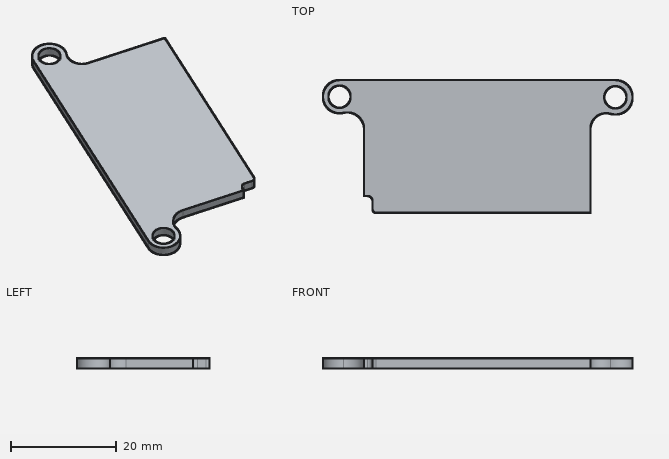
import cadquery as cq
import math

length = 58.9
width = 25.3
thickness = 2.0

left_lug_radius = 3.2
right_lug_radius = 3.3
hole_diameter = 4.2

left_inset = 7.85
right_inset = 8.0
left_blend_radius = 3.2
right_blend_radius = 2.95

notch_length = 1.6
notch_width = 3.2
notch_inner_radius = 0.9
notch_outer_radius = 0.7

left = -length / 2
right = length / 2
back = width / 2
front = -width / 2
body_left = left + left_inset
body_right = right - right_inset
notch_x = body_left + notch_length
notch_y = front + notch_width


def lug_center(tip_x, inward, lug_radius):
    """Centre of a lug tangent to the back edge and to its tip; inward is +1 or -1 along X."""
    return tip_x + inward * lug_radius, back - lug_radius


def blend_points(center, side_x, inward, lug_radius, blend_radius):
    """Lug tangent point, arc midpoint and side tangent point of a lug-to-side blend."""
    blend_x = side_x - inward * blend_radius
    reach = lug_radius + blend_radius
    offset_x = blend_x - center[0]
    blend_y = center[1] - math.sqrt(reach**2 - offset_x**2)
    share = lug_radius / reach
    on_lug = (center[0] + share * offset_x, center[1] + share * (blend_y - center[1]))
    start_angle = math.atan2(on_lug[1] - blend_y, inward * (on_lug[0] - blend_x))
    middle = (
        blend_x + inward * blend_radius * math.cos(start_angle / 2),
        blend_y + blend_radius * math.sin(start_angle / 2),
    )
    return on_lug, middle, (side_x, blend_y)


left_center = lug_center(left, 1, left_lug_radius)
right_center = lug_center(right, -1, right_lug_radius)
left_on_lug, left_middle, left_on_side = blend_points(
    left_center, body_left, 1, left_lug_radius, left_blend_radius
)
right_on_lug, right_middle, right_on_side = blend_points(
    right_center, body_right, -1, right_lug_radius, right_blend_radius
)

plate = (
    cq.Workplane("XY")
    .moveTo(left_center[0], back)
    .lineTo(right_center[0], back)
    .threePointArc((right, right_center[1]), right_on_lug)
    .threePointArc(right_middle, right_on_side)
    .lineTo(body_right, front)
    .lineTo(notch_x, front)
    .lineTo(notch_x, notch_y)
    .lineTo(body_left, notch_y)
    .lineTo(*left_on_side)
    .threePointArc(left_middle, left_on_lug)
    .threePointArc((left, left_center[1]), (left_center[0], back))
    .close()
    .extrude(thickness)
)

for corner_y, radius in ((notch_y, notch_inner_radius), (front, notch_outer_radius)):
    corner = cq.selectors.NearestToPointSelector((notch_x, corner_y, thickness / 2))
    plate = plate.edges("|Z").edges(corner).fillet(radius)

holes = (
    cq.Workplane("XY")
    .pushPoints([left_center, right_center])
    .circle(hole_diameter / 2)
    .extrude(thickness)
)

result = plate.cut(holes)